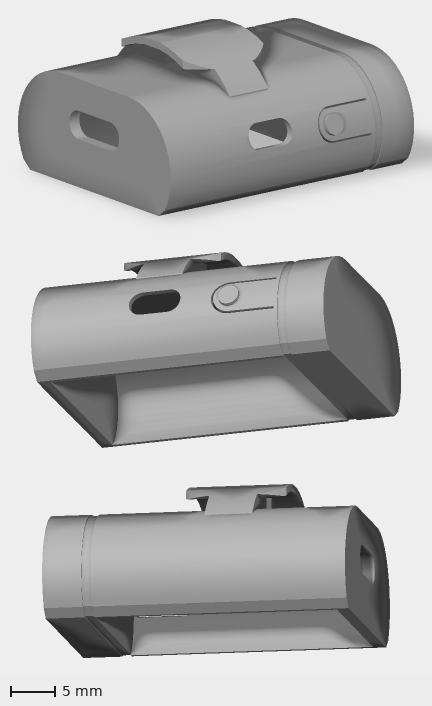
import cadquery as cq
import math

TOTAL_LENGTH = 34.8
CAP_LENGTH = 4.5
NECK_LENGTH = 1.05
NECK_INSET = 0.15
HOUSING_LENGTH = TOTAL_LENGTH - CAP_LENGTH - NECK_LENGTH

WIDTH = 28.22
HEIGHT = 12.75
SIDE_RADIUS = 7.83
ROUND_X = WIDTH / 2 - SIDE_RADIUS
ROUND_Z = HEIGHT - SIDE_RADIUS
BOTTOM_HALF_WIDTH = 11.83
BEVEL_HEIGHT = 0.97
WALL = 0.87
FRONT_WALL = 1.43

PORT_Z = 7.3
PORT_LENGTH = 9.2
PORT_HEIGHT = 3.35
SIDE_SLOT_Y = 14.58
SIDE_SLOT_Z = 7.4
SIDE_SLOT_LENGTH = 6.12
SIDE_SLOT_HEIGHT = 3.0

BUTTON_Y = 23.45
BUTTON_ANGLE = 16.0
BUTTON_BASE_DIAMETER = 2.5
BUTTON_TOP_DIAMETER = 2.45
BUTTON_RISE = 0.35
TONGUE_RADIUS = 1.88
SLIT_WIDTH = 0.25
SLIT_END_Y = 28.85

STRAP_Y = 14.05
STRAP_TOP_Z = 16.53
STRAP_FLAT_WIDTH = 2.92
STRAP_RADIUS = 13.5
STRAP_CENTER_Z = STRAP_TOP_Z - math.sqrt(STRAP_RADIUS**2 - (STRAP_FLAT_WIDTH / 2) ** 2)
STRAP_END_X = 10.4
PLATE_THICKNESS = 0.85
PLATE_LENGTH = 11.55
PLATE_DISC_RADIUS = 8.07
PLATE_BOTTOM_Z = 14.35
LEG_LENGTH = 5.5
CHANNEL_WIDTH = 3.25


def round_x_at(z, radius):
    """X of the +X side round of the given radius at height z."""
    return ROUND_X + math.sqrt(radius**2 - (z - ROUND_Z) ** 2)


def front_plane(y):
    """Sketch plane at the given Y, with local axes X and Z; extruding goes toward +Y."""
    return cq.Workplane(cq.Plane(origin=(0, y, 0), xDir=(-1, 0, 0), normal=(0, 1, 0)))


def section(y):
    """Outer cross-section as a closed wire at the given Y."""
    bevel_x = round_x_at(BEVEL_HEIGHT, SIDE_RADIUS)
    return (
        front_plane(y)
        .moveTo(-BOTTOM_HALF_WIDTH, 0)
        .lineTo(BOTTOM_HALF_WIDTH, 0)
        .lineTo(bevel_x, BEVEL_HEIGHT)
        .threePointArc((ROUND_X + SIDE_RADIUS, ROUND_Z), (ROUND_X, HEIGHT))
        .lineTo(-ROUND_X, HEIGHT)
        .threePointArc((-ROUND_X - SIDE_RADIUS, ROUND_Z), (-bevel_x, BEVEL_HEIGHT))
        .close()
    )


def make_cavity():
    """Space inside the walls, open at the bottom and at the rear end."""
    radius = SIDE_RADIUS - WALL
    bottom_x = round_x_at(0, radius)
    return (
        front_plane(FRONT_WALL)
        .moveTo(-bottom_x, 0)
        .lineTo(bottom_x, 0)
        .threePointArc((ROUND_X + radius, ROUND_Z), (ROUND_X, HEIGHT - WALL))
        .lineTo(-ROUND_X, HEIGHT - WALL)
        .threePointArc((-ROUND_X - radius, ROUND_Z), (-bottom_x, 0))
        .close()
        .extrude(HOUSING_LENGTH - FRONT_WALL)
    )


def strap_arch(radius, top_z, length):
    """Solid under an arc with a flat crown at top_z, reaching down inside the housing."""
    flat_x = math.sqrt(radius**2 - (top_z - STRAP_CENTER_Z) ** 2)
    mid_x = (flat_x + STRAP_END_X) / 2
    mid_z = STRAP_CENTER_Z + math.sqrt(radius**2 - mid_x**2)
    end_z = STRAP_CENTER_Z + math.sqrt(radius**2 - STRAP_END_X**2)
    return (
        front_plane(STRAP_Y - length / 2)
        .moveTo(-STRAP_END_X, ROUND_Z)
        .lineTo(-STRAP_END_X, end_z)
        .threePointArc((-mid_x, mid_z), (-flat_x, top_z))
        .lineTo(flat_x, top_z)
        .threePointArc((mid_x, mid_z), (STRAP_END_X, end_z))
        .lineTo(STRAP_END_X, ROUND_Z)
        .close()
        .extrude(length)
    )


def make_strap():
    """Arched plate with a rounded outline, carried by two legs with a channel between them."""
    inner_radius = STRAP_RADIUS - PLATE_THICKNESS
    inner_top_z = STRAP_TOP_Z - PLATE_THICKNESS
    inner_arch = strap_arch(inner_radius, inner_top_z, PLATE_LENGTH)
    disc = (
        cq.Workplane("XY", origin=(0, STRAP_Y, PLATE_BOTTOM_Z))
        .circle(PLATE_DISC_RADIUS)
        .extrude(STRAP_TOP_Z - PLATE_BOTTOM_Z)
    )
    plate = strap_arch(STRAP_RADIUS, STRAP_TOP_Z, PLATE_LENGTH).cut(inner_arch).intersect(disc)
    channel = (
        cq.Workplane("XY", origin=(0, STRAP_Y, 0))
        .rect(CHANNEL_WIDTH, LEG_LENGTH)
        .extrude(inner_top_z)
    )
    legs = strap_arch(STRAP_RADIUS, STRAP_TOP_Z, LEG_LENGTH).cut(channel)
    return plate.union(legs)


def make_port():
    """Slot through the front wall."""
    return front_plane(0).center(0, PORT_Z).slot2D(PORT_LENGTH, PORT_HEIGHT).extrude(FRONT_WALL)


def make_side_slot():
    """Slot along X through the +X wall."""
    return (
        cq.Workplane("YZ", origin=(ROUND_X, SIDE_SLOT_Y, SIDE_SLOT_Z))
        .slot2D(SIDE_SLOT_LENGTH, SIDE_SLOT_HEIGHT)
        .extrude(SIDE_RADIUS)
    )


def button_plane(distance):
    """Plane across the button axis, at a distance from the axis of the +X side round."""
    angle = math.radians(BUTTON_ANGLE)
    direction = (math.cos(angle), 0, math.sin(angle))
    origin = (ROUND_X + distance * direction[0], BUTTON_Y, ROUND_Z + distance * direction[2])
    return cq.Workplane(cq.Plane(origin=origin, xDir=(0, 1, 0), normal=direction))


def tongue_blank(radius, end_y):
    """Tongue shape with a round front end, deep enough to pass through the wall."""
    length = end_y - BUTTON_Y
    return (
        button_plane(SIDE_RADIUS - 2 * WALL)
        .moveTo(length, -radius)
        .lineTo(length, radius)
        .lineTo(0, radius)
        .threePointArc((-radius, 0), (0, -radius))
        .close()
        .extrude(3 * WALL)
    )


def make_slit():
    """U-shaped slit that frees the tongue on three sides."""
    outer = tongue_blank(TONGUE_RADIUS + SLIT_WIDTH, SLIT_END_Y)
    return outer.cut(tongue_blank(TONGUE_RADIUS, HOUSING_LENGTH))


def make_button():
    """Slightly tapered button that stands on the tongue."""
    base_distance = SIDE_RADIUS - WALL / 2
    foot = button_plane(base_distance).circle(BUTTON_BASE_DIAMETER / 2).extrude(WALL / 2)
    head = (
        button_plane(SIDE_RADIUS)
        .circle(BUTTON_BASE_DIAMETER / 2)
        .workplane(offset=BUTTON_RISE)
        .circle(BUTTON_TOP_DIAMETER / 2)
        .loft()
    )
    return foot.union(head)


def make_housing():
    """Hollow housing with the strap bridge, the openings and the push button."""
    shell = section(0).extrude(HOUSING_LENGTH).union(make_strap()).cut(make_cavity())
    return shell.cut(make_port()).cut(make_side_slot()).cut(make_slit()).union(make_button())


def make_cap():
    """End cap with a slightly smaller neck that meets the rear of the housing."""
    neck = section(HOUSING_LENGTH).offset2D(-NECK_INSET).extrude(NECK_LENGTH)
    return neck.union(section(HOUSING_LENGTH + NECK_LENGTH).extrude(CAP_LENGTH))


housing = make_housing()
cap = make_cap()

result = cq.Compound.makeCompound([housing.solids().val(), cap.solids().val()])